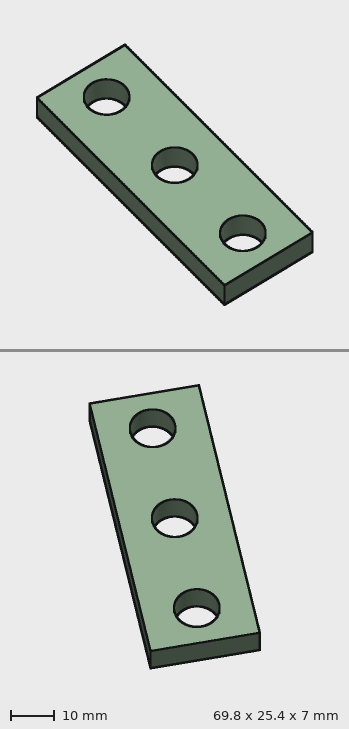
import cadquery as cq

length = 69.85
width = 25.4
thickness = 7.0

hole_diameter = 10.4
hole_pitch = 25.35
hole_count = 3

bar = cq.Workplane("XY").box(length, width, thickness)

result = (
    bar.faces(">Z")
    .workplane()
    .rarray(hole_pitch, width, hole_count, 1)
    .hole(hole_diameter)
)